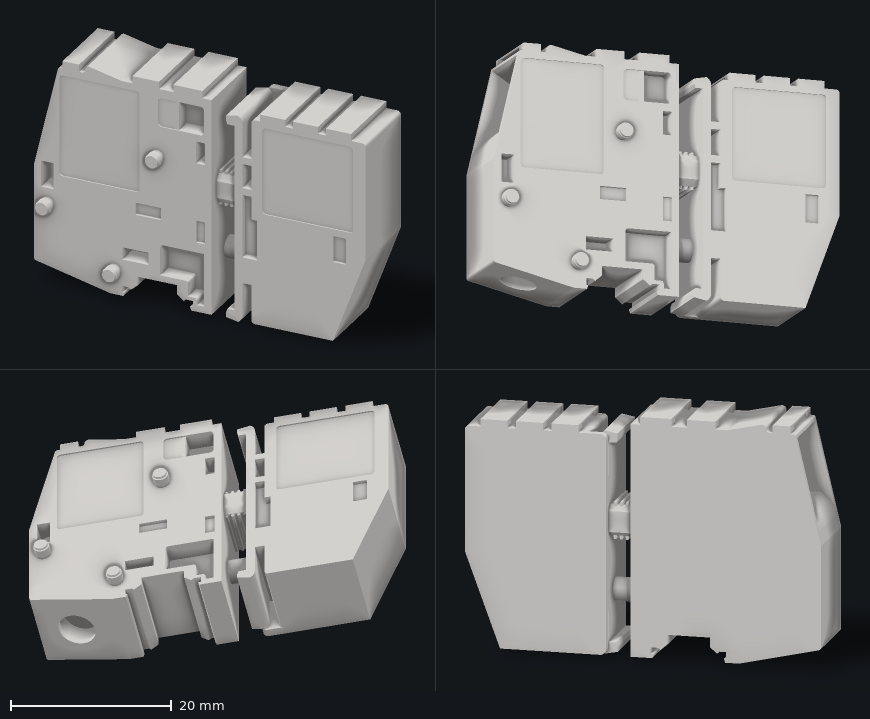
import cadquery as cq
import math

LENGTH = 45.8
HEIGHT = 31.1
DEPTH = 10.15
MID_Y = DEPTH / 2
BASE_Z = 0.2

LEFT_W = 24.5
LEFT_SHOULDER_Z = 30.1
SLOPE_LOW_Z = 15.95
SLOPE_TOP_X = 3.35
SLOPE_TOP_R = 0.3
RAMP_TOP_Z = 2.6
RAMP_END_X = 10.55
NOSE_R = 0.35
LEFT_RIDGES = [(3.95, 6.25), (13.6, 17.25), (19.25, 23.25)]
HUMP_X = 7.05
HUMP_END_X = 12.1
HUMP_FOOT_R = 0.45
HUMP_CREST_R = HEIGHT - LEFT_SHOULDER_Z - HUMP_FOOT_R

RAIL_LEFT_X = 14.3
RAIL_RIGHT_X = 19.75
RAIL_TOP_Z = 3.3
RAIL_LEAD_Z = 2.05
RAIL_TIP_Z = 1.3
RAIL_TIP_REACH = 0.9
RAIL_SLOT_Z = 1.55
RAIL_TIP_FLAT = 0.3
RAIL_CATCH_Z = 0.7
RAIL_CATCH_LEFT_X = 12.25
RAIL_CATCH_RIGHT_X = 21.95
CATCH_REACH_LEFT = 0.27
CATCH_REACH_RIGHT = 0.4
CATCH_LEAD = 0.2

RIGHT_X = 27.65
RIGHT_CORNER_R = 0.5
RIGHT_SHOULDER_Z = 28.6
RIGHT_RIDGE_TOP_Z = 29.55
RIGHT_RIDGES = [(31.2, 34.65), (35.72, 39.2), (40.3, 43.8)]
RIGHT_RAMP_Z = 12.45
RIGHT_RAMP_X = 41.25
BACK_CORNER_R = 0.8

PLATE_T = 1.1
PLATE_DEPTH = 8.7
PLATE_TOP_Z = 28.7
HOOK_X = 26.5
HOOK_T = 1.5
HOOK_LEAD = 0.3
HOOK_NOSE_Z = 1.0
HOOK_RELIEF = 0.2
HOOK_PEAK_X = 28.15
PLATE_CORNER_Z = 1.0
PLATE_CORNER_R = 1.15
SLOT_W = 1.25
SLOT_DEPTH = 9.1
SLOT_EDGE_R = 0.5
TOP_SLOT_Z = 23.1
BOTTOM_SLOT_Z = 5.55

RIDGE_ROOT = 0.45

MARKER_L = 6.75
MARKER_LIP_Z = 0.75
MARKER_ROOT_Z = 0.55
MARKER_REACH = 1.2

LABEL_DEPTH = 0.2
SHALLOW_DEPTH = 0.45
STEP_DEPTH = 1.1
DEEP_DEPTH = 2.4
SOCKET_DEPTH = 2.85
LABEL_R = 0.45

LEFT_LABEL = (3.53, 14.55, 15.05, 29.15)
VIEW_PANEL = (17.15, 23.5, 24.85, 28.85)
VIEW_PANEL_R = 0.55
VIEW_PANEL_STEP_X = 19.92
UPPER_KEYHOLE = (22.4, 23.65, 20.85, 23.85)
LOWER_KEYHOLE = (22.4, 23.65, 9.8, 12.85)
CENTRE_PAD = (14.0, 17.55, 11.85, 13.55)
RIGHT_LABEL = (31.5, 44.0, 15.75, 27.75)
RIGHT_PAD = (41.25, 43.05, 11.18, 14.8)
RIGHT_PAD_R = 0.2

NOOK_X0 = 17.4
NOOK_X1 = 23.5
NOOK_TOP_Z = 8.45
NOOK_STEP_X = 21.25
NOOK_STEP_Z = 4.15
NOOK_STEP_R = 0.3
NOOK_TOE_X = 22.5
NOOK_TOE_Z = 2.05
NOOK_FOOT_Z = 1.1
NOOK_R = 0.4

SOCKETS = [(1.85, 14.8, 0), (14.0, 6.1, -90)]
SOCKET_W = 1.7
SOCKET_L = 3.6
LEDGE_GAP = 0.25
LEDGE_H = 0.75
LEDGE_NOSE_R = 0.7

CLOSED_SLOT_Z = (18.8, 22.1)
STEP_SLOT_Z = (9.1, 17.8)
STEP_SLOT_WIDE_X = 30.8
STEP_SLOT_WIDE_TOP_Z = 14.65

PIN_CENTRES = [(17.0, 20.6), (1.85, 10.8), (11.1, 3.5)]
PIN_L = 1.75
PIN_SHANK_D = 1.9
PIN_RING_D = 2.0
PIN_TIP_D = 1.8
PIN_END_D = 1.7
PIN_RING_START = 0.5
PIN_RING_END = 1.37
PIN_ROOT = 0.45
PIN_RING_BEVEL = 0.1

JOINT_EMBED = 0.45
BAR_W = 7.25
BAR_BOTTOM_Z = 15.0
BAR_TOP_Z = 19.0
BAR_CHAMFER_Z = 0.82
BAR_CHAMFER_Y = 0.65
RIB_L = 5.85
RIB_H = 0.4
RIB_BASE_W = 0.45
RIB_TOP_W = 0.27
RIB_COUNT = 4
RIB_FIRST_X = 24.7
RIB_PITCH = 0.8
ROD_D = 3.0
ROD_Z = 7.5

WINDOW_DEPTH = 2.5
WINDOW_LOW_Z = 17.72
WINDOW_HIGH_Z = 29.6
WINDOW_W = 8.9
WINDOW_DRAFT = 0.9
WINDOW_TOP_DRAFT = 1.3
WINDOW_RIM_DEPTH = 0.45
WINDOW_RIM_DRAFT = 0.35
LIP_Z = 20.6
LIP_CREST_X = 2.4
LIP_R = 5.5

ENTRY_D = 4.7
ENTRY_X = 5.0
ENTRY_DEPTH = 2.75


def extrude(sketch, start, depth):
    """Extrude a front-plane outline from y = start towards the back."""
    return sketch.extrude(-depth).translate((0, start, 0))


def outline(points):
    return cq.Workplane("XZ").polyline(points).close()


def box(x0, x1, y0, y1, z0, z1):
    return cq.Workplane("XY").box(x1 - x0, y1 - y0, z1 - z0, centered=False).translate((x0, y0, z0))


def pocket(extent, depth, radius=0.0, corners="|Y"):
    """Rectangular recess (x0, x1, z0, z1) in the front face, with optional rounded corners."""
    x0, x1, z0, z1 = extent
    tool = box(x0, x1, 0, depth, z0, z1)
    return tool.edges(corners).fillet(radius) if radius else tool


def marker_notch(x, z):
    """Wedge under the left edge of a ridge that stands on height z."""
    wedge = outline([(x, z), (x, z + MARKER_LIP_Z), (x + MARKER_REACH, z + MARKER_ROOT_Z)])
    return extrude(wedge, MID_Y - MARKER_L / 2, MARKER_L)


def ridges(spans, z0, z1):
    """Ridges across the full depth, each notched for a marker."""
    row = cq.Workplane("XY")
    for x0, x1 in spans:
        row = row.union(box(x0, x1, 0, DEPTH, z0 - RIDGE_ROOT, z1).cut(marker_notch(x0, z0)))
    return row


def left_shell():
    catch_left = RAIL_CATCH_LEFT_X
    catch_right = RAIL_CATCH_RIGHT_X
    tip_left = RAIL_LEFT_X - RAIL_TIP_REACH
    tip_right = RAIL_RIGHT_X + RAIL_TIP_REACH
    shell = (
        cq.Workplane("XZ")
        .moveTo(0, RAMP_TOP_Z)
        .lineTo(0, SLOPE_LOW_Z)
        .lineTo(SLOPE_TOP_X, LEFT_SHOULDER_Z)
        .lineTo(HUMP_X - HUMP_FOOT_R, LEFT_SHOULDER_Z)
        .radiusArc((HUMP_X, LEFT_SHOULDER_Z + HUMP_FOOT_R), -HUMP_FOOT_R)
        .radiusArc((HUMP_X + HUMP_CREST_R, HEIGHT), HUMP_CREST_R)
        .lineTo(HUMP_END_X, LEFT_SHOULDER_Z)
        .lineTo(LEFT_W, LEFT_SHOULDER_Z)
        .lineTo(LEFT_W, BASE_Z)
        .lineTo(catch_right - CATCH_REACH_RIGHT + CATCH_LEAD, BASE_Z)
        .lineTo(catch_right - CATCH_REACH_RIGHT, RAIL_CATCH_Z)
        .lineTo(catch_right, RAIL_CATCH_Z)
        .lineTo(catch_right, RAIL_SLOT_Z)
        .lineTo(tip_right + RAIL_TIP_FLAT, RAIL_SLOT_Z)
        .lineTo(tip_right, RAIL_TIP_Z)
        .lineTo(RAIL_RIGHT_X, RAIL_LEAD_Z)
        .lineTo(RAIL_RIGHT_X, RAIL_TOP_Z)
        .lineTo(RAIL_LEFT_X, RAIL_TOP_Z)
        .lineTo(RAIL_LEFT_X, RAIL_LEAD_Z)
        .lineTo(tip_left, RAIL_TIP_Z)
        .lineTo(tip_left - RAIL_TIP_FLAT, RAIL_SLOT_Z)
        .lineTo(catch_left, RAIL_SLOT_Z)
        .lineTo(catch_left, RAIL_CATCH_Z)
        .lineTo(catch_left + CATCH_REACH_LEFT, RAIL_CATCH_Z)
        .lineTo(catch_left + CATCH_REACH_LEFT - CATCH_LEAD, BASE_Z)
        .lineTo(RAMP_END_X, BASE_Z)
        .close()
    )
    shell = extrude(shell, 0, DEPTH)
    shell = shell.edges(cq.selectors.NearestToPointSelector((0, MID_Y, RAMP_TOP_Z))).fillet(NOSE_R)
    slope_top = cq.selectors.NearestToPointSelector((SLOPE_TOP_X, MID_Y, LEFT_SHOULDER_Z))
    shell = shell.edges(slope_top).fillet(SLOPE_TOP_R)
    return shell.union(ridges(LEFT_RIDGES, LEFT_SHOULDER_Z, HEIGHT))


def corner_pocket():
    """Stepped recess above the right foot of the rail notch."""
    sketch = (
        cq.Workplane("XZ")
        .moveTo(NOOK_X0, NOOK_STEP_Z)
        .lineTo(NOOK_X0, NOOK_TOP_Z - NOOK_R)
        .radiusArc((NOOK_X0 + NOOK_R, NOOK_TOP_Z), NOOK_R)
        .lineTo(NOOK_X1, NOOK_TOP_Z)
        .lineTo(NOOK_X1, NOOK_FOOT_Z)
        .lineTo(NOOK_TOE_X, NOOK_FOOT_Z)
        .lineTo(NOOK_TOE_X, NOOK_TOE_Z - NOOK_R)
        .radiusArc((NOOK_TOE_X - NOOK_R, NOOK_TOE_Z), -NOOK_R)
        .lineTo(NOOK_STEP_X, NOOK_TOE_Z)
        .lineTo(NOOK_STEP_X, NOOK_STEP_Z - NOOK_STEP_R)
        .radiusArc((NOOK_STEP_X - NOOK_STEP_R, NOOK_STEP_Z), -NOOK_STEP_R)
        .close()
    )
    return extrude(sketch, 0, DEEP_DEPTH)


def socket(cx, cz, turn):
    """Latch socket with a round-nosed ledge on its floor, turned about its own centre."""
    half_w = SOCKET_W / 2
    half_l = SOCKET_L / 2
    ledge_w = half_w - LEDGE_GAP
    ledge_l = half_l - LEDGE_GAP
    hole = box(-half_w, half_w, 0, SOCKET_DEPTH, -half_l, half_l)
    ledge = box(-ledge_w, ledge_w, SOCKET_DEPTH - LEDGE_H, SOCKET_DEPTH, -ledge_l, ledge_l)
    ledge = ledge.edges("|Z and <X and <Y").fillet(LEDGE_NOSE_R)
    return hole.cut(ledge).rotate((0, 0, 0), (0, 1, 0), turn).translate((cx, 0, cz))


def tapered_hole(plane, mouth, floor, depth):
    """Rectangular taper between two (half width, length) sections that share a base line."""
    hole = cq.Workplane(plane)
    for offset, (half, length) in ((0, mouth), (depth, floor)):
        hole = hole.workplane(offset=offset)
        hole = hole.polyline([(-half, 0), (half, 0), (half, length), (-half, length)]).close()
    return hole.loft(ruled=True)


def slope_window():
    """Tapered window normal to the left slope, standing on a rounded lip."""
    rise = LEFT_SHOULDER_Z - SLOPE_LOW_Z
    lean = math.atan2(SLOPE_TOP_X, rise)
    along_x = math.sin(lean)
    along_z = math.cos(lean)
    length = (WINDOW_HIGH_Z - WINDOW_LOW_Z) / along_z
    foot_x = (WINDOW_LOW_Z - SLOPE_LOW_Z) * SLOPE_TOP_X / rise
    plane = cq.Plane(
        origin=(foot_x, MID_Y, WINDOW_LOW_Z), xDir=(0, 1, 0), normal=(along_z, 0, -along_x)
    )
    half = WINDOW_W / 2
    mouth = (half, length)
    rim = (half - WINDOW_RIM_DRAFT, length - WINDOW_RIM_DRAFT)
    floor = (half - WINDOW_DRAFT, length - WINDOW_TOP_DRAFT)
    window = tapered_hole(plane, mouth, rim, WINDOW_RIM_DEPTH)
    rim_plane = cq.Plane(
        origin=plane.toWorldCoords((0, 0, WINDOW_RIM_DEPTH)), xDir=plane.xDir, normal=plane.zDir
    )
    window = window.union(tapered_hole(rim_plane, rim, floor, WINDOW_DEPTH - WINDOW_RIM_DEPTH))
    lip_back_x = foot_x + 2 * WINDOW_DEPTH
    lip_base_z = WINDOW_LOW_Z - 2 * WINDOW_DEPTH
    lip = (
        cq.Workplane("XZ")
        .moveTo(foot_x, WINDOW_LOW_Z)
        .radiusArc((LIP_CREST_X, LIP_Z), LIP_R)
        .lineTo(lip_back_x, LIP_Z)
        .lineTo(lip_back_x, lip_base_z)
        .lineTo(foot_x, lip_base_z)
        .close()
    )
    return window.cut(extrude(lip, 0, DEPTH))


def wire_entry():
    """Round bore normal to the bottom ramp."""
    drop = RAMP_TOP_Z - BASE_Z
    entry_z = RAMP_TOP_Z - drop * ENTRY_X / RAMP_END_X
    plane = cq.Plane(origin=(ENTRY_X, MID_Y, entry_z), xDir=(0, 1, 0), normal=(drop, 0, RAMP_END_X))
    return cq.Workplane(plane).circle(ENTRY_D / 2).extrude(ENTRY_DEPTH, both=True)


def pin(x, z):
    """Snap pin with a raised ring, standing out of the front face."""
    profile = [
        (0, -PIN_ROOT),
        (PIN_SHANK_D / 2, -PIN_ROOT),
        (PIN_SHANK_D / 2, PIN_RING_START),
        (PIN_RING_D / 2, PIN_RING_START + PIN_RING_BEVEL),
        (PIN_RING_D / 2, PIN_RING_END),
        (PIN_TIP_D / 2, PIN_RING_END + PIN_RING_BEVEL),
        (PIN_END_D / 2, PIN_L),
        (0, PIN_L),
    ]
    body = cq.Workplane("XY").polyline(profile).close().revolve(360, (0, 0), (0, 1))
    return body.mirror("XZ").translate((x, 0, z))


def left_housing():
    body = left_shell()
    _, panel_x1, panel_z0, panel_z1 = VIEW_PANEL
    panel_well = (VIEW_PANEL_STEP_X, panel_x1, panel_z0, panel_z1)
    body = body.cut(pocket(LEFT_LABEL, LABEL_DEPTH, LABEL_R))
    body = body.cut(pocket(VIEW_PANEL, LABEL_DEPTH, VIEW_PANEL_R))
    body = body.cut(pocket(panel_well, DEEP_DEPTH, VIEW_PANEL_R, "|Y and >X"))
    body = body.cut(pocket(UPPER_KEYHOLE, DEEP_DEPTH))
    body = body.cut(pocket(LOWER_KEYHOLE, SHALLOW_DEPTH))
    body = body.cut(pocket(CENTRE_PAD, SHALLOW_DEPTH))
    body = body.cut(corner_pocket())
    for centre_x, centre_z, turn in SOCKETS:
        body = body.cut(socket(centre_x, centre_z, turn))
    body = body.cut(slope_window()).cut(wire_entry())
    for x, z in PIN_CENTRES:
        body = body.union(pin(x, z))
    return body


def coupling_plate():
    """Plate with a hook at each end that faces the left housing."""
    face_x = RIGHT_X + PLATE_T
    lip_x = HOOK_X + HOOK_RELIEF
    top = PLATE_TOP_Z
    sketch = (
        cq.Workplane("XZ")
        .moveTo(RIGHT_X, HOOK_T)
        .lineTo(lip_x, HOOK_T)
        .lineTo(HOOK_X, HOOK_NOSE_Z)
        .lineTo(HOOK_X, HOOK_LEAD)
        .lineTo(HOOK_PEAK_X, 0)
        .radiusArc((face_x, PLATE_CORNER_Z), -PLATE_CORNER_R)
        .lineTo(face_x, top - PLATE_CORNER_Z)
        .radiusArc((HOOK_PEAK_X, top), -PLATE_CORNER_R)
        .lineTo(HOOK_X, top - HOOK_LEAD)
        .lineTo(HOOK_X, top - HOOK_NOSE_Z)
        .lineTo(lip_x, top - HOOK_T)
        .lineTo(RIGHT_X, top - HOOK_T)
        .close()
    )
    return extrude(sketch, 0, PLATE_DEPTH)


def right_housing():
    slot_x = RIGHT_X + PLATE_T
    slot_end = slot_x + SLOT_W
    body = outline([
        (RIGHT_X, BASE_Z),
        (RIGHT_X, RIGHT_SHOULDER_Z),
        (LENGTH, RIGHT_SHOULDER_Z),
        (LENGTH, RIGHT_RAMP_Z),
        (RIGHT_RAMP_X, BASE_Z),
    ])
    body = extrude(body, 0, DEPTH)
    body = body.edges("|Y and <X").fillet(BACK_CORNER_R)
    top_corner = cq.selectors.NearestToPointSelector((LENGTH, MID_Y, RIGHT_SHOULDER_Z))
    body = body.edges(top_corner).fillet(RIGHT_CORNER_R)
    for z0, z1 in [(TOP_SLOT_Z, HEIGHT), (0, BOTTOM_SLOT_Z)]:
        body = body.cut(box(RIGHT_X, slot_end, 0, SLOT_DEPTH, z0, z1))
    for z in (BASE_Z, RIGHT_SHOULDER_Z):
        edge = cq.selectors.NearestToPointSelector((slot_end, SLOT_DEPTH / 2, z))
        body = body.edges(edge).fillet(SLOT_EDGE_R)
    body = body.union(coupling_plate())
    body = body.union(ridges(RIGHT_RIDGES, RIGHT_SHOULDER_Z, RIGHT_RIDGE_TOP_Z))
    body = body.cut(pocket((slot_x, slot_end, *CLOSED_SLOT_Z), SLOT_DEPTH))
    body = body.cut(pocket((slot_x, slot_end, *STEP_SLOT_Z), STEP_DEPTH))
    wide_step = (slot_x, STEP_SLOT_WIDE_X, STEP_SLOT_Z[0], STEP_SLOT_WIDE_TOP_Z)
    body = body.cut(pocket(wide_step, STEP_DEPTH))
    body = body.cut(pocket(RIGHT_LABEL, LABEL_DEPTH, LABEL_R))
    return body.cut(pocket(RIGHT_PAD, SHALLOW_DEPTH, RIGHT_PAD_R, "|Y and >X"))


def ribbed_bar(x0, length):
    """Flat eight-sided bar with cross ribs above and below."""
    bar = box(x0, x0 + length, MID_Y - BAR_W / 2, MID_Y + BAR_W / 2, BAR_BOTTOM_Z, BAR_TOP_Z)
    for face in ("<Y", ">Y"):
        bar = bar.faces(face).edges("|X").chamfer(BAR_CHAMFER_Z, BAR_CHAMFER_Y)
    mid_z = (BAR_BOTTOM_Z + BAR_TOP_Z) / 2
    half_h = mid_z - BAR_BOTTOM_Z
    for index in range(RIB_COUNT):
        x = RIB_FIRST_X + index * RIB_PITCH
        profile = []
        for side in (1, -1):
            profile += [
                (x - side * RIB_BASE_W / 2, mid_z + side * half_h),
                (x - side * RIB_TOP_W / 2, mid_z + side * (half_h + RIB_H)),
                (x + side * RIB_TOP_W / 2, mid_z + side * (half_h + RIB_H)),
                (x + side * RIB_BASE_W / 2, mid_z + side * half_h),
            ]
        bar = bar.union(extrude(outline(profile), MID_Y - RIB_L / 2, RIB_L))
    return bar


def connectors():
    x0 = LEFT_W - JOINT_EMBED
    length = RIGHT_X - LEFT_W + 2 * JOINT_EMBED
    rod = cq.Workplane("YZ").center(MID_Y, ROD_Z).circle(ROD_D / 2).extrude(length)
    return ribbed_bar(x0, length).union(rod.translate((x0, 0, 0)))


result = left_housing().union(right_housing()).union(connectors())